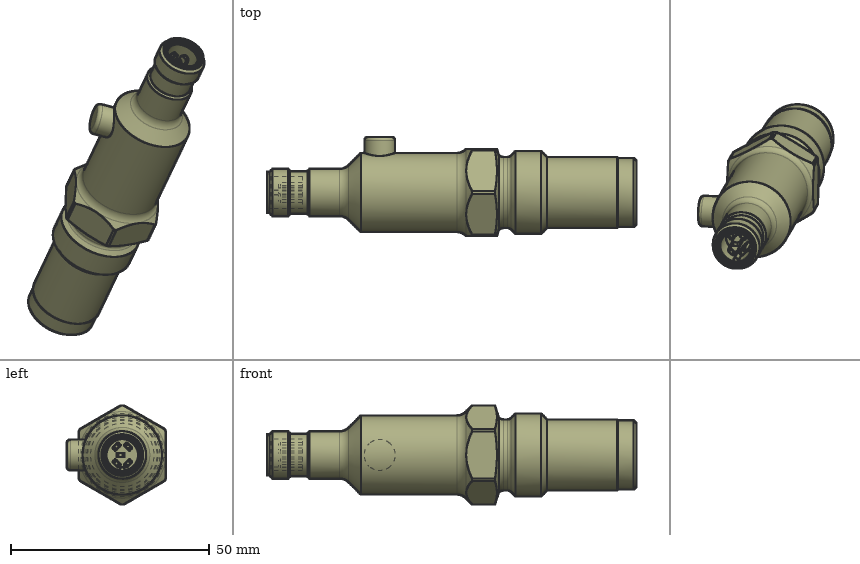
import cadquery as cq
import math

TOTAL_LENGTH = 93.2

TIP_DIA = 10.47
TIP_LENGTH = 0.7
NECK_DIA = 10.8
COLLAR_DIA = 12.0
COLLAR_END = 5.3
NECK_END = 10.2

BODY_DIA = 20.0
BODY_START = 23.7
BODY_END = 47.9
BLEND_RADIUS = 3.2
SHOULDER_ANGLE = 45.0

HEX_SIDES = 6
HEX_ACROSS_FLATS = 22.0
HEX_CORNER_DIA = 25.0
HEX_REAR_CORNER = 57.5

SLEEVE_DIA = 18.0
GROOVE_START = 59.6
GROOVE_END = 60.7
GROOVE_FRONT_RADIUS = 1.6
GROOVE_REAR_RADIUS = 1.2
RING_DIA = 20.95
RING_END = 69.1
SLEEVE_END = 88.2
END_DIA = 17.5
END_CHAMFER = 0.75

SOCKET_DIA = 8.0
SOCKET_MOUTH_DIA = 9.45
SOCKET_MOUTH_DEPTH = 0.7
SOCKET_CHAMFER = 0.4
SOCKET_DEPTH = 9.0
KEY_DIA = 1.2
KEY_OFFSET = 3.65

BLADE_LENGTH = 2.0
BLADE_THICKNESS = 1.0
BLADE_TIP_CHAMFER = 0.5
BLADE_TIP_X = 3.0
BLADE_ROOT_OVERLAP = 0.5
BLADE_TILT = 45.0
BLADE_Y = 1.43
BLADE_Z = 2.1
CENTER_BLADE_Y = 0.4

BUTTON_DIA = 7.8
BUTTON_X = 28.45
BUTTON_TOP_Y = 14.05
BUTTON_FILLET = 1.0


def blend(start_x, start_r, angle_deg, radius, direction):
    """Middle and far points of a concave arc leaving a cylinder and turning outward by the angle."""
    points = []
    for turn in (math.radians(angle_deg) / 2, math.radians(angle_deg)):
        x = start_x + direction * radius * math.sin(turn)
        points.append((x, start_r + radius * (1 - math.cos(turn))))
    return points


def make_turned_body():
    tip_r = TIP_DIA / 2
    neck_r = NECK_DIA / 2
    collar_r = COLLAR_DIA / 2
    body_r = BODY_DIA / 2
    hex_r = HEX_CORNER_DIA / 2
    sleeve_r = SLEEVE_DIA / 2
    ring_r = RING_DIA / 2
    end_r = END_DIA / 2
    neck_step = collar_r - neck_r

    blend_rise = BLEND_RADIUS * (1 - math.cos(math.radians(SHOULDER_ANGLE)))
    blend_run = BLEND_RADIUS * math.sin(math.radians(SHOULDER_ANGLE))
    cone_run = (body_r - collar_r - blend_rise) / math.tan(math.radians(SHOULDER_ANGLE))
    front_blend_x = BODY_START - cone_run - blend_run
    front_mid, front_end = blend(front_blend_x, collar_r, SHOULDER_ANGLE, BLEND_RADIUS, 1)

    hex_mid, hex_end = blend(BODY_END, body_r, SHOULDER_ANGLE, BLEND_RADIUS, 1)
    hex_front_corner = hex_end[0] + (hex_r - hex_end[1]) / math.tan(math.radians(SHOULDER_ANGLE))

    rear_mid, rear_end = blend(GROOVE_START, sleeve_r, SHOULDER_ANGLE, GROOVE_FRONT_RADIUS, -1)
    ring_mid, ring_blend_end = blend(GROOVE_END, sleeve_r, SHOULDER_ANGLE, GROOVE_REAR_RADIUS, 1)
    ring_start = ring_blend_end[0] + (ring_r - ring_blend_end[1]) / math.tan(math.radians(SHOULDER_ANGLE))

    profile = (
        cq.Workplane("XY")
        .moveTo(0, 0)
        .lineTo(0, tip_r)
        .lineTo(TIP_LENGTH, tip_r)
        .lineTo(TIP_LENGTH + collar_r - tip_r, collar_r)
        .lineTo(COLLAR_END, collar_r)
        .lineTo(COLLAR_END + neck_step, neck_r)
        .lineTo(NECK_END, neck_r)
        .lineTo(NECK_END + neck_step, collar_r)
        .lineTo(front_blend_x, collar_r)
        .threePointArc(front_mid, front_end)
        .lineTo(BODY_START, body_r)
        .lineTo(BODY_END, body_r)
        .threePointArc(hex_mid, hex_end)
        .lineTo(hex_front_corner, hex_r)
        .lineTo(HEX_REAR_CORNER, hex_r)
        .lineTo(*rear_end)
        .threePointArc(rear_mid, (GROOVE_START, sleeve_r))
        .lineTo(GROOVE_END, sleeve_r)
        .threePointArc(ring_mid, ring_blend_end)
        .lineTo(ring_start, ring_r)
        .lineTo(RING_END, ring_r)
        .lineTo(RING_END + ring_r - sleeve_r, sleeve_r)
        .lineTo(SLEEVE_END, sleeve_r)
        .lineTo(SLEEVE_END + sleeve_r - end_r, end_r)
        .lineTo(TOTAL_LENGTH - END_CHAMFER, end_r)
        .lineTo(TOTAL_LENGTH, end_r - END_CHAMFER)
        .lineTo(TOTAL_LENGTH, 0)
        .close()
    )
    return profile.revolve(360, (0, 0, 0), (1, 0, 0))


def cut_hexagon(body):
    """Trim with a full-length hexagonal prism; only the hexagon section is wide enough to be cut."""
    corner_dia = HEX_ACROSS_FLATS / math.cos(math.pi / HEX_SIDES)
    prism = (
        cq.Workplane("YZ")
        .transformed(rotate=(0, 0, 90))
        .polygon(HEX_SIDES, corner_dia)
        .extrude(TOTAL_LENGTH)
    )
    return body.intersect(prism)


def make_socket():
    """Blind bore with a counterbored, chamfered mouth and a round key left standing along its -Z wall."""
    socket_r = SOCKET_DIA / 2
    mouth_r = SOCKET_MOUTH_DIA / 2
    bore = (
        cq.Workplane("XY")
        .polyline([
            (0, 0),
            (0, mouth_r),
            (SOCKET_MOUTH_DEPTH, mouth_r),
            (SOCKET_MOUTH_DEPTH, socket_r + SOCKET_CHAMFER),
            (SOCKET_MOUTH_DEPTH + SOCKET_CHAMFER, socket_r),
            (SOCKET_DEPTH, socket_r),
            (SOCKET_DEPTH, 0),
        ])
        .close()
        .revolve(360, (0, 0, 0), (1, 0, 0))
    )
    key_start = SOCKET_MOUTH_DEPTH + SOCKET_CHAMFER
    key = (
        cq.Workplane("YZ", origin=(key_start, 0, 0))
        .center(0, -KEY_OFFSET)
        .circle(KEY_DIA / 2)
        .extrude(SOCKET_DEPTH - key_start)
    )
    return bore.cut(key)


def make_blade(y, z, angle_deg):
    """Flat contact along X, its tip chamfered at both ends of the long side."""
    half = BLADE_LENGTH / 2
    root_x = SOCKET_DEPTH + BLADE_ROOT_OVERLAP
    blade = (
        cq.Workplane("XY")
        .polyline([
            (root_x, -half),
            (BLADE_TIP_X + BLADE_TIP_CHAMFER, -half),
            (BLADE_TIP_X, -half + BLADE_TIP_CHAMFER),
            (BLADE_TIP_X, half - BLADE_TIP_CHAMFER),
            (BLADE_TIP_X + BLADE_TIP_CHAMFER, half),
            (root_x, half),
        ])
        .close()
        .extrude(BLADE_THICKNESS / 2, both=True)
    )
    return blade.rotate((0, 0, 0), (1, 0, 0), angle_deg).translate((0, y, z))


def add_blades(body):
    body = body.union(make_blade(CENTER_BLADE_Y, 0, 0))
    for side_y in (-1, 1):
        for side_z in (-1, 1):
            tangent_angle = -BLADE_TILT * side_y * side_z
            body = body.union(make_blade(side_y * BLADE_Y, side_z * BLADE_Z, tangent_angle))
    return body


def make_button():
    return (
        cq.Workplane("XZ", origin=(BUTTON_X, BUTTON_TOP_Y, 0))
        .circle(BUTTON_DIA / 2)
        .extrude(BUTTON_TOP_Y)
        .faces(">Y")
        .edges()
        .fillet(BUTTON_FILLET)
    )


result = cut_hexagon(make_turned_body())
result = result.union(make_button())
result = result.cut(make_socket())
result = add_blades(result)